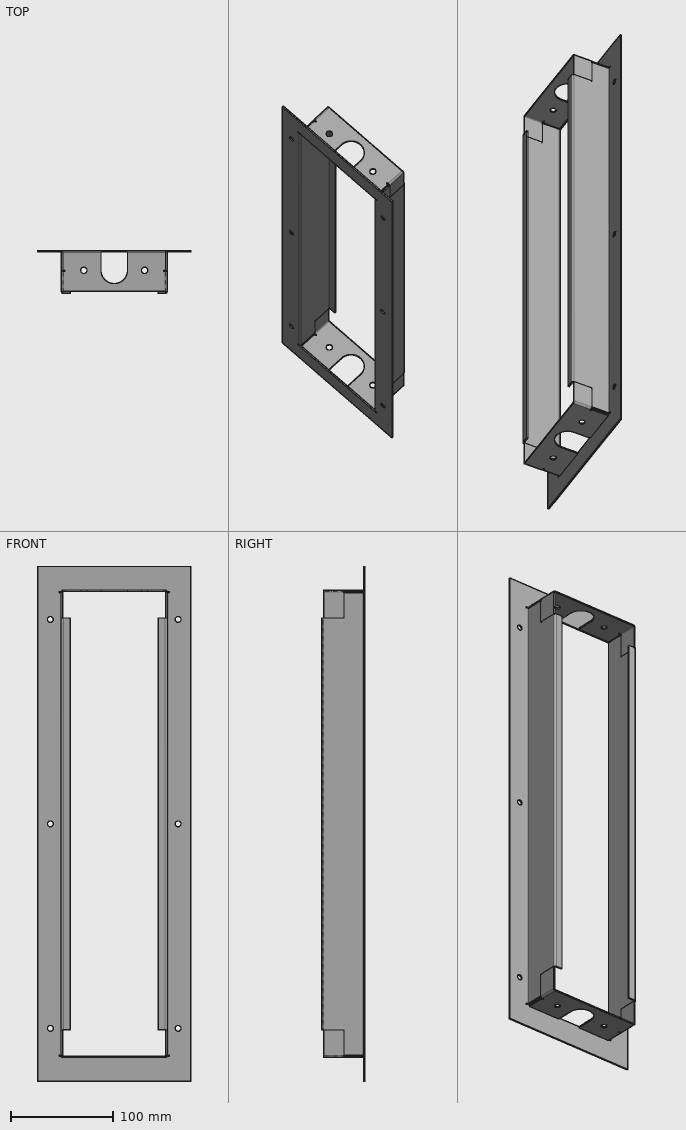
import cadquery as cq

height = 504.0
width = 150.0
depth = 42.5
sheet = 1.5
bend_inner = 0.5
bend_outer = bend_inner + sheet

flange_border = 23.0
box_width = width - 2 * flange_border
box_height = height - 2 * flange_border
lip_width = 9.0
lip_length = 403.0

plate_hole_diameter = 5.5
plate_hole_pitch_x = 125.0
plate_hole_pitch_z = 200.0

slit_reach = 1.5

bracket_depth = 40.5
tab_start = 20.5
tab_length = (box_height - lip_length) / 2
relief_width = 1.0
relief_reach = 3.5
cable_slot_width = 25.5
bracket_hole_diameter = 6.0
bracket_hole_pitch = 59.5
bracket_hole_depth = 19.5


def box(x_min, x_max, y_min, y_max, z_min, z_max):
    """Block between opposite corners."""
    size = (x_max - x_min, y_max - y_min, z_max - z_min)
    return cq.Workplane("XY").box(*size, centered=False).translate((x_min, y_min, z_min))


def make_plate():
    """Flat flange plate with its rectangular opening, corner slits and holes."""
    plate = box(-width / 2, width / 2, -sheet, 0, -height / 2, height / 2)
    opening_x = box_width / 2 - sheet
    opening_z = box_height / 2 - sheet
    plate = plate.cut(box(-opening_x, opening_x, -sheet, 0, -opening_z, opening_z))
    slit_x = box_width / 2 + bend_inner + slit_reach
    for z in (-opening_z, opening_z - relief_width):
        plate = plate.cut(box(-slit_x, slit_x, -sheet, 0, z, z + relief_width))
    holes = (
        cq.Workplane("XZ")
        .rarray(plate_hole_pitch_x, plate_hole_pitch_z, 2, 3)
        .circle(plate_hole_diameter / 2)
        .extrude(sheet)
    )
    return plate.cut(holes)


def make_side_wall():
    """Left wall folded forward from the plate, with its lip folded inward."""
    outer_x = -box_width / 2
    inner_x = outer_x + sheet
    wall_height = box_height - 2 * (sheet + relief_width)
    profile = (
        cq.Workplane("XY")
        .moveTo(outer_x - bend_inner, 0)
        .radiusArc((inner_x, -bend_outer), bend_outer)
        .lineTo(inner_x, -depth + bend_outer)
        .radiusArc((inner_x + bend_inner, -depth + sheet), -bend_inner)
        .lineTo(outer_x + lip_width, -depth + sheet)
        .lineTo(outer_x + lip_width, -depth)
        .lineTo(outer_x + bend_outer, -depth)
        .radiusArc((outer_x, -depth + bend_outer), bend_outer)
        .lineTo(outer_x, -bend_outer)
        .radiusArc((outer_x - bend_inner, -sheet), -bend_inner)
        .close()
    )
    wall = profile.extrude(wall_height / 2, both=True)
    for z in (-box_height / 2, lip_length / 2):
        notch = box(outer_x, outer_x + lip_width, -depth, -tab_start, z, z + tab_length)
        wall = wall.cut(notch)
    return wall


def make_frame():
    """Flange plate and both side walls, folded from one sheet."""
    opening_x = box_width / 2 + bend_inner
    fold_z = box_height / 2 - sheet - relief_width
    frame = make_plate().cut(box(-opening_x, opening_x, -sheet, 0, -fold_z, fold_z))
    wall = make_side_wall()
    return frame.union(wall).union(wall.mirror("YZ"))


def make_top_bracket():
    """Upper end wall: a channel with two tabs, a cable slot and two holes."""
    top_z = box_height / 2
    tab_end_z = top_z - tab_length
    half = box_width / 2
    inner_half = half - sheet

    channel = (
        box(-half, half, -bracket_depth, -tab_start, tab_end_z, top_z)
        .edges("|Y and >Z")
        .fillet(bend_outer)
    )
    cavity = (
        box(-inner_half, inner_half, -bracket_depth, -tab_start, tab_end_z, top_z - sheet)
        .edges("|Y and >Z")
        .fillet(bend_inner)
    )
    flat = box(-inner_half, inner_half, -tab_start, -sheet, top_z - sheet, top_z)
    bracket = channel.cut(cavity).union(flat)

    relief_x = half - relief_reach
    for x_min, x_max in ((-half, -relief_x), (relief_x, half)):
        relief = box(x_min, x_max, -tab_start, -tab_start + relief_width, top_z - sheet, top_z)
        bracket = bracket.cut(relief)

    end_wall = cq.Workplane("XY", origin=(0, 0, top_z - sheet))
    holes = (
        end_wall.center(0, -bracket_hole_depth)
        .rarray(bracket_hole_pitch, 5, 2, 1)
        .circle(bracket_hole_diameter / 2)
        .extrude(sheet)
    )
    slot_radius = cable_slot_width / 2
    slot = (
        end_wall.moveTo(-slot_radius, 0)
        .lineTo(-slot_radius, -bracket_hole_depth)
        .threePointArc((0, -bracket_hole_depth - slot_radius), (slot_radius, -bracket_hole_depth))
        .lineTo(slot_radius, 0)
        .close()
        .extrude(sheet)
    )
    return bracket.cut(holes).cut(slot)


frame = make_frame()
top_bracket = make_top_bracket()
bottom_bracket = top_bracket.mirror("XY")

result = cq.Compound.makeCompound([frame.val(), top_bracket.val(), bottom_bracket.val()])